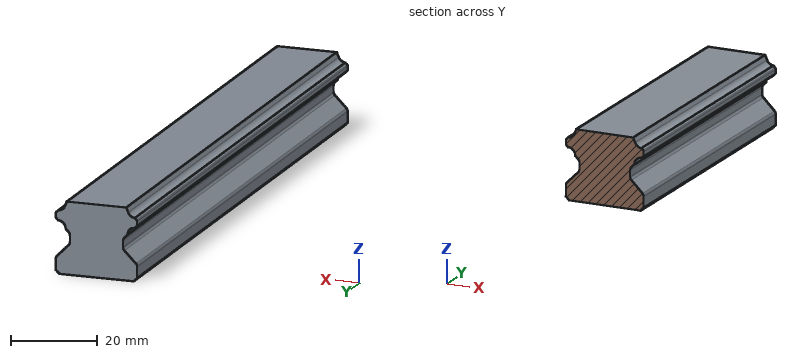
import cadquery as cq

rail_width = 20.0
rail_height = 17.5
rail_length = 140.0
half_width = rail_width / 2

base_chamfer = 0.9
foot_height = 4.0
web_half_width = 6.55
web_top_height = 9.95
foot_and_web_fillet = 1.0

lip_middle_height = 14.0
lip_half_thickness = 1.2
lip_chamfer = 0.6
lip_fillet = 0.5
track_radius = 1.8
lip_root_half_width = half_width - lip_chamfer
lower_track_height = lip_middle_height - lip_half_thickness - track_radius

flank_bottom_height = 16.35
flank_half_width = 7.8
top_half_width = 7.3

web_bottom_height = foot_height + half_width - web_half_width
lip_edge_offset = lip_half_thickness - lip_chamfer
neck_half_width = lip_root_half_width - track_radius


def half_section():
    """Right half of the rail section, closed along the plane of symmetry."""
    return (
        cq.Workplane("XZ", origin=(0, rail_length / 2, 0))
        .lineTo(half_width - base_chamfer, 0)
        .lineTo(half_width, base_chamfer)
        .lineTo(half_width, foot_height)
        .lineTo(web_half_width, web_bottom_height)
        .lineTo(web_half_width, web_top_height)
        .lineTo(neck_half_width, lower_track_height)
        .radiusArc((lip_root_half_width, lip_middle_height - lip_half_thickness), track_radius)
        .lineTo(half_width, lip_middle_height - lip_edge_offset)
        .lineTo(half_width, lip_middle_height + lip_edge_offset)
        .lineTo(lip_root_half_width, lip_middle_height + lip_half_thickness)
        .radiusArc((flank_half_width, flank_bottom_height), track_radius)
        .lineTo(top_half_width, rail_height)
        .lineTo(0, rail_height)
        .close()
    )


def fillet_long_edge(body, x, z, radius):
    """Round the edge that runs the length of the rail through (x, z)."""
    return body.edges(cq.NearestToPointSelector((x, 0, z))).fillet(radius)


def half_rail():
    """Right half of the rail with its long edges rounded."""
    body = half_section().extrude(rail_length)
    foot_and_web_corners = [
        (half_width, foot_height),
        (web_half_width, web_bottom_height),
        (web_half_width, web_top_height),
    ]
    for x, z in foot_and_web_corners:
        body = fillet_long_edge(body, x, z, foot_and_web_fillet)
    for side in (-1, 1):
        body = fillet_long_edge(body, half_width, lip_middle_height + side * lip_edge_offset, lip_fillet)
    return body


right_half = half_rail()
result = right_half.union(right_half.mirror("YZ")).clean()